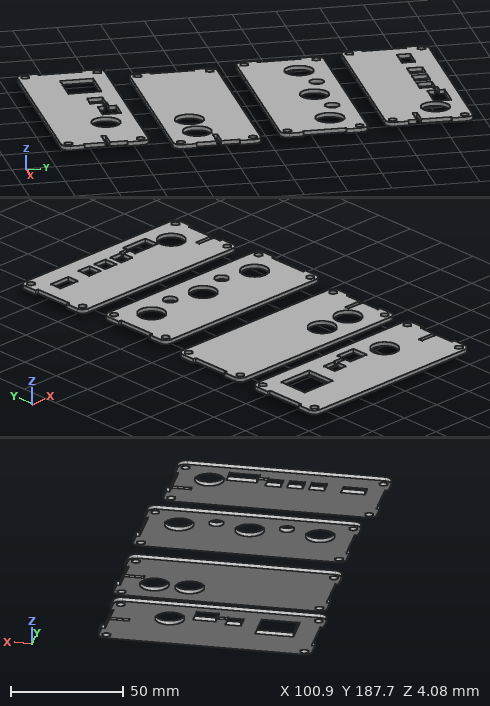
import cadquery as cq

PANEL_LENGTH = 96.87
PANEL_WIDTH = 39.9
PANEL_THICKNESS = 2.0
CORNER_RADIUS = 3.5
SCREW_HOLE_DIAMETER = 3.65
SCREW_HOLE_INSET = 3.5
END_RECESS_DEPTH = 1.5
END_RECESS_WIDTH = 19.8

JACK_DIAMETER = 13.0
JACK_GRID = 16.0
INDICATOR_DIAMETER = 6.5
BUTTON_SIZE = 7.0
CABLE_SLOT_WIDTH = 2.0
CABLE_SLOT_START = 38.0
LINK_SLOT_WIDTH = 2.0

TOTAL_LENGTH = 100.87
TOTAL_WIDTH = 187.7
TOTAL_HEIGHT = 4.08

UPPER_LEVEL = TOTAL_HEIGHT - PANEL_THICKNESS
JACK_PANEL_DROP = 0.08
SOCKET_PANEL_PLACE = (0, 0, UPPER_LEVEL)
PLAIN_PANEL_PLACE = (3.2, 50.55, 0)
JACK_PANEL_PLACE = (TOTAL_LENGTH - PANEL_LENGTH, 98.95, UPPER_LEVEL - JACK_PANEL_DROP)
BUTTON_PANEL_PLACE = (0, TOTAL_WIDTH - PANEL_WIDTH, UPPER_LEVEL)


def box_cutter(x_min, x_max, y_min, y_max):
    """Rectangular cutter through the full panel thickness."""
    return (
        cq.Workplane("XY")
        .center((x_min + x_max) / 2, (y_min + y_max) / 2)
        .rect(x_max - x_min, y_max - y_min)
        .extrude(PANEL_THICKNESS)
    )


def window(x, y, length, width):
    """Rectangular cutter centred on (x, y)."""
    return box_cutter(x - length / 2, x + length / 2, y - width / 2, y + width / 2)


def round_holes(centres, diameter):
    """Round cutters through the full panel thickness."""
    return cq.Workplane("XY").pushPoints(centres).circle(diameter / 2).extrude(PANEL_THICKNESS)


def link_slot(x_min, x_max, y):
    """Narrow cutter that joins a button window to the window beside it."""
    half_width = LINK_SLOT_WIDTH / 2
    return box_cutter(x_min, x_max, y - half_width, y + half_width)


def cable_slot(y):
    """Slot that is open at the +X end of a panel."""
    half_width = CABLE_SLOT_WIDTH / 2
    return box_cutter(CABLE_SLOT_START, PANEL_LENGTH / 2, y - half_width, y + half_width)


def panel_blank():
    """Rounded plate with four screw holes and a shallow recess in each end."""
    blank = cq.Workplane("XY").rect(PANEL_LENGTH, PANEL_WIDTH).extrude(PANEL_THICKNESS)
    blank = blank.edges("|Z").fillet(CORNER_RADIUS)
    hole_x = PANEL_LENGTH / 2 - SCREW_HOLE_INSET
    hole_y = PANEL_WIDTH / 2 - SCREW_HOLE_INSET
    screw_centres = [(sx * hole_x, sy * hole_y) for sx in (-1, 1) for sy in (-1, 1)]
    blank = blank.cut(round_holes(screw_centres, SCREW_HOLE_DIAMETER))
    for side in (-1, 1):
        blank = blank.cut(window(side * PANEL_LENGTH / 2, 0, 2 * END_RECESS_DEPTH, END_RECESS_WIDTH))
    return blank


def make_socket_panel():
    """Panel with a large socket, one button linked to a window, and a jack."""
    socket_centre = (-28.4, 5.3)
    socket_size = (17.3, 15.0)
    button_centre = (-8.4, 8.0)
    window_centre = (5.1, 11.0)
    window_size = (10.2, 8.4)
    link_y = 10.9
    jack_centre = (20.6, 6.0)
    cable_slot_y = 1.0

    button_edge = button_centre[0] + BUTTON_SIZE / 2
    panel = panel_blank()
    panel = panel.cut(window(*socket_centre, *socket_size))
    panel = panel.cut(window(*button_centre, BUTTON_SIZE, BUTTON_SIZE))
    panel = panel.cut(window(*window_centre, *window_size))
    panel = panel.cut(link_slot(button_edge, window_centre[0], link_y))
    panel = panel.cut(round_holes([jack_centre], JACK_DIAMETER))
    return panel.cut(cable_slot(cable_slot_y))


def make_plain_panel():
    """Panel with two jacks side by side."""
    jack_y = -6.2
    cable_slot_y = 0.6

    jack_centres = [(jack_x, jack_y) for jack_x in (JACK_GRID, 2 * JACK_GRID)]
    panel = panel_blank()
    panel = panel.cut(round_holes(jack_centres, JACK_DIAMETER))
    return panel.cut(cable_slot(cable_slot_y))


def make_jack_panel():
    """Panel with three jacks and an indicator hole between each pair."""
    jack_y = 5.75
    indicator_y = 10.3

    jack_centres = [(i * 2 * JACK_GRID, jack_y) for i in (-1, 0, 1)]
    indicator_centres = [(side * JACK_GRID, indicator_y) for side in (-1, 1)]
    panel = panel_blank()
    panel = panel.cut(round_holes(jack_centres, JACK_DIAMETER))
    return panel.cut(round_holes(indicator_centres, INDICATOR_DIAMETER))


def make_button_panel():
    """Panel with a row of three buttons, two windows and a jack."""
    button_pitch = 9.9
    button_y = 7.9
    middle_button_x = -7.0
    right_window_centre = (17.6, 10.8)
    right_window_size = (13.8, 7.8)
    link_y = 11.4
    left_window_centre = (-33.5, 6.9)
    left_window_size = (10.8, 6.0)
    jack_centre = (2 * JACK_GRID, 5.85)
    cable_slot_y = -4.9

    panel = panel_blank()
    for i in (-1, 0, 1):
        button_x = middle_button_x + i * button_pitch
        panel = panel.cut(window(button_x, button_y, BUTTON_SIZE, BUTTON_SIZE))
    last_button_edge = middle_button_x + button_pitch + BUTTON_SIZE / 2
    panel = panel.cut(link_slot(last_button_edge, right_window_centre[0], link_y))
    panel = panel.cut(window(*right_window_centre, *right_window_size))
    panel = panel.cut(window(*left_window_centre, *left_window_size))
    panel = panel.cut(round_holes([jack_centre], JACK_DIAMETER))
    return panel.cut(cable_slot(cable_slot_y))


socket_panel = make_socket_panel().translate(SOCKET_PANEL_PLACE)
plain_panel = make_plain_panel().translate(PLAIN_PANEL_PLACE)
jack_panel = make_jack_panel().translate(JACK_PANEL_PLACE)
button_panel = make_button_panel().translate(BUTTON_PANEL_PLACE)

result = cq.Compound.makeCompound(
    [socket_panel.val(), plain_panel.val(), jack_panel.val(), button_panel.val()]
)